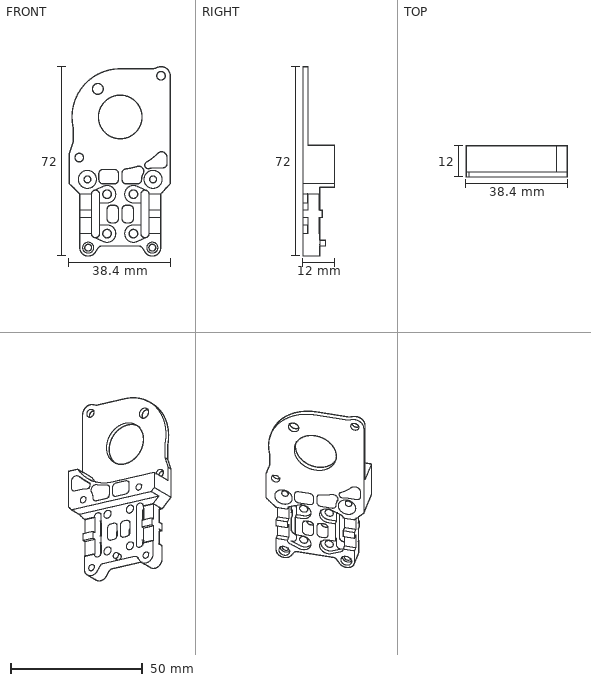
import cadquery as cq
import math


plate_depth = 2.0
body_depth = 6.5
block_depth = 12.0

width = 38.35
right_x = 19.0
left_x = right_x - width
body_half_width = 15.4
shoulder_bottom = 23.6
shoulder_top = 27.5
flank_x = 17.9
flank_top = 43.3
flank_bottom = 39.0
total_height = 71.95

motor_z = 52.8
motor_bore_diameter = 16.5
motor_rim_radius = 18.35
window_arc_radius = 19.85

ear_radius = 3.5
ear_x = right_x - ear_radius
ear_z = total_height - ear_radius
ear_ramp_start_x = 12.65
ear_ramp_end_x = 13.75

block_bottom = 26.1
block_left_top = 33.7
block_right_top = 42.15
block_curve_start_x = 0.6
block_curve_end_x = 14.9
block_curve_radius = 18.7

lug_radius = 3.25
lug_x = body_half_width - lug_radius
lug_z = lug_radius
lug_hole_diameter = 2.5
lug_counterbore_diameter = 4.2
lug_counterbore_depth = 2.0
bottom_edge_z = 3.8
lug_flank_top_x = 7.9
lug_flank_fillet = 1.5

mount_hole_diameter = 3.2
left_hole_x = -15.55
left_hole_z = 37.4
upper_hole_diameter = 4.0
upper_hole_x = -8.5
upper_hole_z = 63.45

screw_x = 12.45
screw_z = 29.15
screw_hole_diameter = 2.5
screw_head_diameter = 6.8
screw_boss_radius = 4.4

carriage_spacing = 10.0
carriage_x = carriage_spacing / 2
carriage_low_z = 8.55
carriage_high_z = 23.5
pocket_radius = 3.3
pocket_depth = 1.8

slot_spacing = 18.8
slot_x = slot_spacing / 2
slot_width = 3.0
slot_end_radius = slot_width / 2
strap_back = 6.05
strap_bottom = 8.6
bridge_back = 7.4
bridge_bottom = 14.7
bridge_top = 17.5

window_inner_x = 0.7
window_corner = 1.5
middle_window_outer_x = 5.0
middle_window_bottom = 12.65
middle_window_top = 19.3
upper_window_outer_x = 8.05
upper_window_bottom = 27.5
upper_window_top = 32.9
side_window_right_x = 17.7
curved_window_nose_radius = 1.9
side_window_tip_radius = 1.3
side_window_top_radius = 2.0

pin_diameter = 2.3
pin_z = bottom_edge_z + pin_diameter / 2
pin_end = 8.55


def section(depth_start):
    """Workplane at Y = depth_start whose local axes are the global X and Z."""
    return cq.Workplane("XZ", origin=(0, depth_start, 0))


def box(x_start, x_end, y_start, y_end, z_start, z_end):
    size = (x_end - x_start, y_end - y_start, z_end - z_start)
    return cq.Workplane("XY").box(*size, centered=False).translate((x_start, y_start, z_start))


def cylinder(x, z, diameter, y_start, y_end):
    return section(y_start).center(x, z).circle(diameter / 2).extrude(y_start - y_end)


def on_circle(center, radius, angle):
    return (center[0] + radius * math.cos(angle), center[1] + radius * math.sin(angle))


def direction(start, end):
    return math.atan2(end[1] - start[1], end[0] - start[0])


def arc_middle(center, radius, start, end):
    """Middle of the shorter arc from start to end."""
    chord_middle = ((start[0] + end[0]) / 2, (start[1] + end[1]) / 2)
    return on_circle(center, radius, direction(center, chord_middle))


def tangent_angle(center, radius, point, side):
    """Angle, seen from the centre, at which the tangent from a point touches a circle."""
    distance = math.dist(center, point)
    return direction(center, point) + side * math.acos(radius / distance)


def fillet_corners(solid, corners, radius):
    """Round the edges along Y that pass through the given (X, Z) corners."""
    for x, z in corners:
        edge = cq.selectors.NearestToPointSelector((x, block_depth / 2, z))
        solid = solid.edges("|Y").edges(edge).fillet(radius)
    return solid


motor = (0, motor_z)
screw = (screw_x, screw_z)


def make_plate():
    ear = (ear_x, ear_z)
    ear_start = (right_x, ear_z)
    ear_ramp_rise = math.sqrt(ear_radius**2 - (ear_x - ear_ramp_end_x) ** 2)
    ear_end = (ear_ramp_end_x, ear_z + ear_ramp_rise)
    rim_top = (0, motor_z + motor_rim_radius)
    rim_end = (-flank_x, motor_z - math.sqrt(motor_rim_radius**2 - flank_x**2))
    return (
        section(0)
        .moveTo(-body_half_width, shoulder_bottom)
        .lineTo(body_half_width, shoulder_bottom)
        .lineTo(right_x, shoulder_top)
        .lineTo(*ear_start)
        .threePointArc(arc_middle(ear, ear_radius, ear_start, ear_end), ear_end)
        .lineTo(ear_ramp_start_x, rim_top[1])
        .lineTo(*rim_top)
        .threePointArc(arc_middle(motor, motor_rim_radius, rim_top, rim_end), rim_end)
        .lineTo(-flank_x, flank_top)
        .lineTo(left_x, flank_bottom)
        .lineTo(left_x, shoulder_top)
        .close()
        .extrude(-plate_depth)
    )


def make_shoulders():
    """Full-width body part between the narrow body and the rear block."""
    return (
        section(0)
        .moveTo(-body_half_width, shoulder_bottom)
        .lineTo(body_half_width, shoulder_bottom)
        .lineTo(right_x, shoulder_top)
        .lineTo(left_x, shoulder_top)
        .close()
        .extrude(-block_depth)
        .cut(box(left_x, right_x, body_depth, block_depth, 0, block_bottom))
    )


def make_block():
    curve_start = (block_curve_start_x, block_left_top)
    curve_end = (block_curve_end_x, block_right_top)
    return (
        section(0)
        .moveTo(left_x, shoulder_top)
        .lineTo(right_x, shoulder_top)
        .lineTo(right_x, block_right_top)
        .lineTo(*curve_end)
        .radiusArc(curve_start, block_curve_radius)
        .lineTo(left_x, block_left_top)
        .close()
        .extrude(-block_depth)
    )


def make_body():
    """Narrow lower body with two round lugs."""
    lug = (lug_x, lug_z)
    flank_top_point = (lug_flank_top_x, bottom_edge_z)
    touch_angle = tangent_angle(lug, lug_radius, flank_top_point, 1)
    touch = on_circle(lug, lug_radius, touch_angle)
    lug_bottom = (lug_x, 0)
    body = (
        section(0)
        .moveTo(0, shoulder_bottom)
        .lineTo(body_half_width, shoulder_bottom)
        .lineTo(body_half_width, lug_z)
        .threePointArc(lug_bottom, touch)
        .lineTo(*flank_top_point)
        .lineTo(0, bottom_edge_z)
        .mirrorY()
        .extrude(-body_depth)
    )
    corners = [(side * lug_flank_top_x, bottom_edge_z) for side in (-1, 1)]
    return fillet_corners(body, corners, lug_flank_fillet)


def make_strap_recesses(side):
    """Recesses in front of and behind the outer strap, leaving a bridge in the middle."""
    recesses = cq.Workplane("XY")
    inner_x, outer_x = sorted((side * slot_x, side * body_half_width))
    for bottom, top in ((strap_bottom, bridge_bottom), (bridge_top, shoulder_bottom)):
        recesses = recesses.add(box(inner_x, outer_x, 0, plate_depth, bottom, top))
        recesses = recesses.add(box(inner_x, outer_x, strap_back, body_depth, bottom, top))
    return recesses.combine()


def make_bridge(side):
    inner_x, outer_x = sorted((side * (slot_x + slot_end_radius), side * body_half_width))
    return box(inner_x, outer_x, plate_depth, bridge_back, bridge_bottom, bridge_top)


def make_slot(side):
    return (
        section(0)
        .center(side * slot_x, (carriage_low_z + carriage_high_z) / 2)
        .slot2D(carriage_high_z - carriage_low_z + slot_width, slot_width, 90)
        .extrude(-body_depth)
    )


def make_carriage_pocket(side, z, away):
    """Round pocket opening into the slot.

    Its far edge (away = 1 up, -1 down) is tangent to the pocket and to the slot's end.
    """
    center = (side * carriage_x, z)
    slot_center = (side * slot_x, z)
    lean = math.acos((pocket_radius - slot_end_radius) / (slot_x - carriage_x))
    tangent_x = side * math.cos(lean)
    tangent_z = away * math.sin(lean)
    near_edge_z = z - away * pocket_radius
    outlet = [
        center,
        (center[0] + pocket_radius * tangent_x, z + pocket_radius * tangent_z),
        (slot_center[0] + slot_end_radius * tangent_x, z + slot_end_radius * tangent_z),
        (slot_center[0], near_edge_z),
        (center[0], near_edge_z),
    ]
    pocket = cylinder(*center, 2 * pocket_radius, 0, pocket_depth)
    return pocket.union(section(0).polyline(outlet).close().extrude(-pocket_depth))


def make_screw_hole(side):
    sink_depth = (screw_head_diameter - screw_hole_diameter) / 2
    cone = (
        section(0)
        .center(side * screw_x, screw_z)
        .circle(screw_head_diameter / 2)
        .workplane(offset=-sink_depth)
        .circle(screw_hole_diameter / 2)
        .loft(ruled=True)
    )
    return cone.union(cylinder(side * screw_x, screw_z, screw_hole_diameter, 0, block_depth))


def make_lug_hole(side):
    hole = cylinder(side * lug_x, lug_z, lug_hole_diameter, 0, body_depth)
    counterbore = cylinder(side * lug_x, lug_z, lug_counterbore_diameter, 0, lug_counterbore_depth)
    return hole.union(counterbore)


def make_rounded_window(x_start, x_end, z_start, z_end):
    window = box(x_start, x_end, 0, block_depth, z_start, z_end)
    return window.edges("|Y").fillet(window_corner)


def round_between_arcs(radius, side):
    """Centre of a circle touching both the motor window arc and the screw boss."""
    motor_distance = window_arc_radius + radius
    screw_distance = screw_boss_radius + radius
    spacing = math.dist(motor, screw)
    along = (spacing**2 + motor_distance**2 - screw_distance**2) / (2 * spacing)
    turn = side * math.acos(along / motor_distance)
    return on_circle(motor, motor_distance, direction(motor, screw) + turn)


def make_curved_window():
    """Window left of the right-hand screw, bounded by the motor arc and the screw boss."""
    nose = round_between_arcs(curved_window_nose_radius, -1)
    nose_top = on_circle(motor, window_arc_radius, direction(motor, nose))
    nose_bottom = on_circle(screw, screw_boss_radius, direction(screw, nose))
    nose_tip = arc_middle(nose, curved_window_nose_radius, nose_top, nose_bottom)
    boss_side = (screw_x - screw_boss_radius, screw_z)
    arc_end_z = motor_z - math.sqrt(window_arc_radius**2 - window_inner_x**2)
    arc_end = (window_inner_x, arc_end_z)
    window = (
        section(0)
        .moveTo(window_inner_x, upper_window_bottom)
        .lineTo(boss_side[0], upper_window_bottom)
        .lineTo(*boss_side)
        .threePointArc(arc_middle(screw, screw_boss_radius, boss_side, nose_bottom), nose_bottom)
        .threePointArc(nose_tip, nose_top)
        .threePointArc(arc_middle(motor, window_arc_radius, nose_top, arc_end), arc_end)
        .close()
        .extrude(-block_depth)
    )
    corners = [
        (window_inner_x, upper_window_bottom),
        (boss_side[0], upper_window_bottom),
        arc_end,
    ]
    return fillet_corners(window, corners, window_corner)


def make_side_window():
    """Window above the right-hand screw, bounded by the motor arc and the right edge."""
    tip = round_between_arcs(side_window_tip_radius, 1)
    tip_top = on_circle(motor, window_arc_radius, direction(motor, tip))
    tip_bottom = on_circle(screw, screw_boss_radius, direction(screw, tip))
    tip_angle = (direction(tip, tip_top) + direction(tip, tip_bottom) - 2 * math.pi) / 2
    tip_end = on_circle(tip, side_window_tip_radius, tip_angle)
    boss_top = (screw_x, screw_z + screw_boss_radius)
    corner = (side_window_right_x, boss_top[1])

    top_x = side_window_right_x - side_window_top_radius
    top_distance = window_arc_radius + side_window_top_radius
    top = (top_x, motor_z - math.sqrt(top_distance**2 - top_x**2))
    top_start = (side_window_right_x, top[1])
    top_end = on_circle(motor, window_arc_radius, direction(motor, top))
    window = (
        section(0)
        .moveTo(*boss_top)
        .lineTo(*corner)
        .lineTo(*top_start)
        .threePointArc(arc_middle(top, side_window_top_radius, top_start, top_end), top_end)
        .threePointArc(arc_middle(motor, window_arc_radius, top_end, tip_top), tip_top)
        .threePointArc(tip_end, tip_bottom)
        .threePointArc(arc_middle(screw, screw_boss_radius, tip_bottom, boss_top), boss_top)
        .close()
        .extrude(-block_depth)
    )
    return fillet_corners(window, [corner], window_corner)


result = make_plate().union(make_shoulders()).union(make_block()).union(make_body())

for side in (-1, 1):
    result = result.cut(make_strap_recesses(side))
    result = result.union(make_bridge(side))
    result = result.cut(make_slot(side))
    result = result.cut(make_screw_hole(side))
    result = result.cut(make_lug_hole(side))
    for z, away in ((carriage_low_z, -1), (carriage_high_z, 1)):
        result = result.cut(make_carriage_pocket(side, z, away))
        result = result.cut(cylinder(side * carriage_x, z, mount_hole_diameter, 0, body_depth))
    middle_x = sorted((side * window_inner_x, side * middle_window_outer_x))
    result = result.cut(make_rounded_window(*middle_x, middle_window_bottom, middle_window_top))

result = result.cut(
    make_rounded_window(-upper_window_outer_x, -window_inner_x, upper_window_bottom, upper_window_top)
)
result = result.cut(make_curved_window())
result = result.cut(make_side_window())

result = result.cut(cylinder(0, motor_z, motor_bore_diameter, 0, plate_depth))
result = result.cut(cylinder(ear_x, ear_z, mount_hole_diameter, 0, plate_depth))
result = result.cut(cylinder(left_hole_x, left_hole_z, mount_hole_diameter, 0, plate_depth))
result = result.cut(cylinder(upper_hole_x, upper_hole_z, upper_hole_diameter, 0, plate_depth))

result = result.union(cylinder(0, pin_z, pin_diameter, body_depth, pin_end))